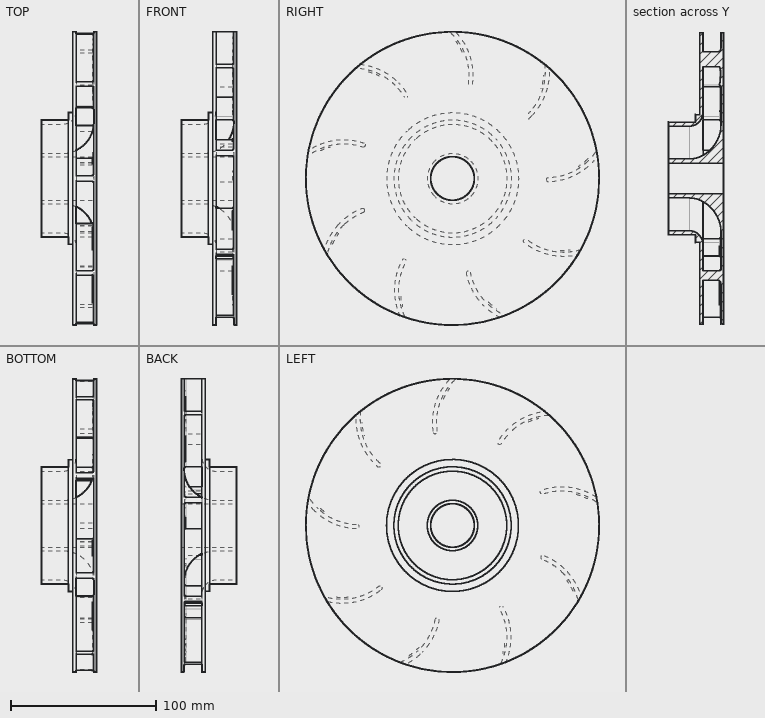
import cadquery as cq
import math

rim_radius = 101.2
bore_radius = 15.0
hub_radius = 17.5
eye_radius = 37.5
collar_radius = 40.5
step_radius = 45.5

step_x = 18.6
shroud_outer_x = 21.7
shroud_inner_x = 24.0
disc_inner_x = 36.2
disc_outer_x = 38.3

inlet_round = 9.7
hub_flare = 21.3

blade_count = 9
blade_thickness = 2.8
blade_root_fillet = 1.2
lead_radial = 64.8
lead_tangential = 12.1
mid_radial = 83.0
mid_tangential = 11.0

blade_overrun = 10.1
blank_radius = rim_radius + 2 * blade_overrun
root_search_radius = 50.6
seam_turn = 15.0
tolerance = 0.02


def arc_point(center, radius, angle):
    return center[0] + radius * math.cos(angle), center[1] + radius * math.sin(angle)


def revolve_about_axis(profile):
    return profile.close().revolve(360, (0, 0, 0), (1, 0, 0))


def make_shroud():
    """Front shroud with its neck ring and rounded inlet."""
    round_center = (shroud_inner_x - inlet_round, eye_radius + inlet_round)
    profile = (
        cq.Workplane("XY")
        .moveTo(0, eye_radius)
        .lineTo(round_center[0], eye_radius)
        .threePointArc(
            arc_point(round_center, inlet_round, -math.pi / 4),
            (shroud_inner_x, round_center[1]),
        )
        .lineTo(shroud_inner_x, rim_radius)
        .lineTo(shroud_outer_x, rim_radius)
        .lineTo(shroud_outer_x, step_radius)
        .lineTo(step_x, step_radius)
        .lineTo(step_x, collar_radius)
        .lineTo(0, collar_radius)
    )
    return revolve_about_axis(profile)


def make_hub_disc():
    """Oversized back disc flaring smoothly into the hub tube."""
    flare_center = (disc_inner_x - hub_flare, hub_radius + hub_flare)
    profile = (
        cq.Workplane("XY")
        .moveTo(0, bore_radius)
        .lineTo(0, hub_radius)
        .lineTo(flare_center[0], hub_radius)
        .threePointArc(
            arc_point(flare_center, hub_flare, -math.pi / 4),
            (disc_inner_x, flare_center[1]),
        )
        .lineTo(disc_inner_x, blank_radius)
        .lineTo(disc_outer_x, blank_radius)
        .lineTo(disc_outer_x, bore_radius)
    )
    return revolve_about_axis(profile)


def blade_arc():
    """Center and radius of the centreline arc from the leading edge to the rim at +Z."""
    ay, az = lead_tangential, lead_radial
    by, bz = mid_tangential, mid_radial
    cy, cz = 0.0, rim_radius
    a2, b2, c2 = ay**2 + az**2, by**2 + bz**2, cy**2 + cz**2
    det = 2 * (ay * (bz - cz) + by * (cz - az) + cy * (az - bz))
    center_y = (a2 * (bz - cz) + b2 * (cz - az) + c2 * (az - bz)) / det
    center_z = (a2 * (cy - by) + b2 * (ay - cy) + c2 * (by - ay)) / det
    return (center_y, center_z), math.hypot(ay - center_y, az - center_z)


def make_blade():
    """Curved blade with a round leading edge, running past the rim."""
    center, radius = blade_arc()
    lead_angle = math.atan2(lead_radial - center[1], lead_tangential - center[0])
    rim_angle = math.atan2(rim_radius - center[1], -center[0])
    end_angle = rim_angle + blade_overrun / radius
    middle_angle = (lead_angle + end_angle) / 2
    nose_angle = lead_angle - blade_thickness / 2 / radius
    outer = radius + blade_thickness / 2
    inner = radius - blade_thickness / 2
    return (
        cq.Workplane("YZ", origin=(shroud_inner_x, 0, 0))
        .moveTo(*arc_point(center, outer, lead_angle))
        .threePointArc(arc_point(center, outer, middle_angle), arc_point(center, outer, end_angle))
        .lineTo(*arc_point(center, inner, end_angle))
        .threePointArc(arc_point(center, inner, middle_angle), arc_point(center, inner, lead_angle))
        .threePointArc(arc_point(center, radius, nose_angle), arc_point(center, outer, lead_angle))
        .close()
        .extrude(disc_inner_x - shroud_inner_x)
    )


def is_blade_root(edge):
    """True for edges on the inner disc face lying between the hub flare and the disc edge."""
    box = edge.BoundingBox()
    middle = edge.positionAt(0.5)
    on_face = box.xlen < tolerance and abs(box.xmin - disc_inner_x) < tolerance
    return on_face and root_search_radius < math.hypot(middle.y, middle.z) < blank_radius - tolerance


def add_blades(disc):
    """Stand the blades on the disc, fillet their roots and trim everything to the rim."""
    disc = disc.rotate((0, 0, 0), (1, 0, 0), seam_turn)
    blade = make_blade()
    for index in range(blade_count):
        disc = disc.union(blade.rotate((0, 0, 0), (1, 0, 0), index * 360 / blade_count))
    root_edges = [edge for edge in disc.edges().vals() if is_blade_root(edge)]
    disc = disc.newObject(root_edges).fillet(blade_root_fillet)
    rim_cylinder = cq.Workplane("YZ").circle(rim_radius).extrude(disc_outer_x)
    return disc.intersect(rim_cylinder)


result = add_blades(make_hub_disc()).union(make_shroud())